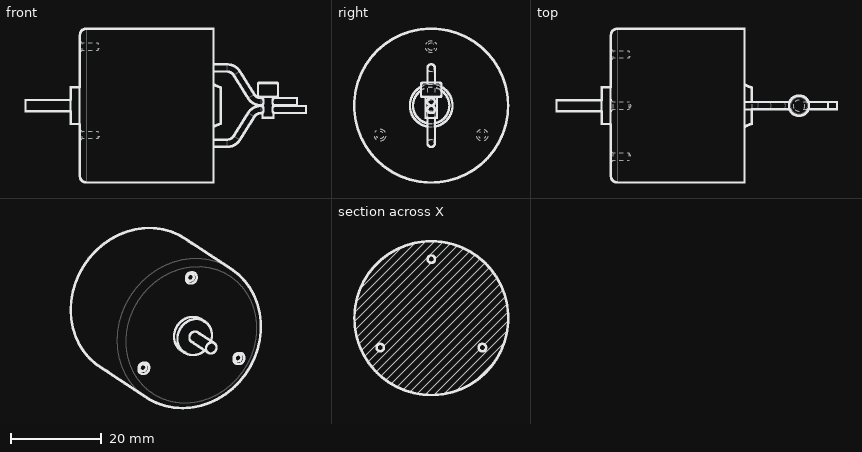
import cadquery as cq
import math


can_diameter = 34.0
can_length = 29.5
can_edge_radius = 1.5

front_boss_diameter = 8.2
front_boss_height = 2.0
shaft_diameter = 2.5
shaft_length = 10.0

rear_boss_base_radius = 4.7
rear_boss_tip_radius = 4.0
rear_boss_height = 1.6
rear_boss_arc_sag = 0.05

hole_count = 3
hole_circle_radius = 13.0
hole_diameter = 1.6
hole_depth = 4.0
countersink_diameter = 2.6
countersink_depth = (countersink_diameter - hole_diameter) / 2
drill_point_angle = 118.0

wire_diameter = 1.65
wire_exit_offset = 8.3
wire_end_offset = 0.86
wire_exit_length = 3.0
wire_bend_radius = 2.5
wire_bend_angle = math.radians(58.0)
upper_wire_tail = 8.0
lower_wire_tail = 10.0

pin_diameter = 2.5
pin_distance = 12.0
pin_bottom_z = -2.7
head_diameter = 4.5
head_bottom_z = 1.85
head_height = 3.2
head_edge_radius = 0.4


def x_cylinder(diameter, x_start, length):
    return cq.Workplane("YZ", origin=(x_start, 0, 0)).circle(diameter / 2).extrude(length)


def z_cylinder(diameter, x, z_start, height):
    return cq.Workplane("XY", origin=(x, 0, z_start)).circle(diameter / 2).extrude(height)


def make_can():
    return x_cylinder(can_diameter, 0, can_length).faces("<X").edges().fillet(can_edge_radius)


def make_shaft_and_boss():
    boss = x_cylinder(front_boss_diameter, -front_boss_height, front_boss_height)
    shaft = x_cylinder(shaft_diameter, -front_boss_height - shaft_length, shaft_length)
    return boss.union(shaft)


def make_rear_boss():
    boss_end = can_length + rear_boss_height
    middle_x = can_length + rear_boss_height / 2
    middle_radius = (rear_boss_base_radius + rear_boss_tip_radius) / 2 - rear_boss_arc_sag
    return (
        cq.Workplane("XZ")
        .moveTo(can_length, 0)
        .lineTo(can_length, rear_boss_base_radius)
        .threePointArc((middle_x, middle_radius), (boss_end, rear_boss_tip_radius))
        .lineTo(boss_end, 0)
        .close()
        .revolve(360, (0, 0, 0), (1, 0, 0))
    )


def make_hole_cutter():
    """Countersunk drill shape with its axis along X at Y = Z = 0."""
    hole_radius = hole_diameter / 2
    point_length = hole_radius / math.tan(math.radians(drill_point_angle / 2))
    return (
        cq.Workplane("XZ")
        .moveTo(0, 0)
        .lineTo(0, countersink_diameter / 2)
        .lineTo(countersink_depth, hole_radius)
        .lineTo(hole_depth, hole_radius)
        .lineTo(hole_depth + point_length, 0)
        .close()
        .revolve(360, (0, 0, 0), (1, 0, 0))
    )


def cut_mounting_holes(body):
    cutter = make_hole_cutter().translate((0, 0, hole_circle_radius))
    for index in range(hole_count):
        angle = index * 360.0 / hole_count
        body = body.cut(cutter.rotate((0, 0, 0), (1, 0, 0), angle))
    return body


def make_wire(side, tail_length):
    """S-bent lead on the +Z side (side = 1) or the -Z side (side = -1)."""
    bend_run = wire_bend_radius * math.sin(wire_bend_angle)
    bend_drop = wire_bend_radius * (1 - math.cos(wire_bend_angle))
    half_run = wire_bend_radius * math.sin(wire_bend_angle / 2)
    half_drop = wire_bend_radius * (1 - math.cos(wire_bend_angle / 2))
    slope_drop = wire_exit_offset - wire_end_offset - 2 * bend_drop
    slope_run = slope_drop / math.tan(wire_bend_angle)

    first_bend_x = can_length + wire_exit_length
    slope_start = (first_bend_x + bend_run, wire_exit_offset - bend_drop)
    slope_end = (slope_start[0] + slope_run, wire_end_offset + bend_drop)
    tail_x = slope_end[0] + bend_run
    first_middle = (first_bend_x + half_run, wire_exit_offset - half_drop)
    second_middle = (tail_x - half_run, wire_end_offset + half_drop)

    def on_side(point):
        return (point[0], side * point[1])

    path = (
        cq.Workplane("XZ")
        .moveTo(can_length, side * wire_exit_offset)
        .lineTo(first_bend_x, side * wire_exit_offset)
        .threePointArc(on_side(first_middle), on_side(slope_start))
        .lineTo(*on_side(slope_end))
        .threePointArc(on_side(second_middle), (tail_x, side * wire_end_offset))
        .lineTo(tail_x + tail_length, side * wire_end_offset)
    )
    start = cq.Workplane("YZ", origin=(can_length, 0, side * wire_exit_offset))
    return start.circle(wire_diameter / 2).sweep(path)


def make_pin():
    pin_x = can_length + pin_distance
    shank = z_cylinder(pin_diameter, pin_x, pin_bottom_z, head_bottom_z - pin_bottom_z)
    head = z_cylinder(head_diameter, pin_x, head_bottom_z, head_height)
    return shank.union(head.edges().fillet(head_edge_radius))


motor = cut_mounting_holes(make_can())
motor = motor.union(make_shaft_and_boss()).union(make_rear_boss())
motor = motor.union(make_wire(1, upper_wire_tail)).union(make_wire(-1, lower_wire_tail))
result = motor.union(make_pin())